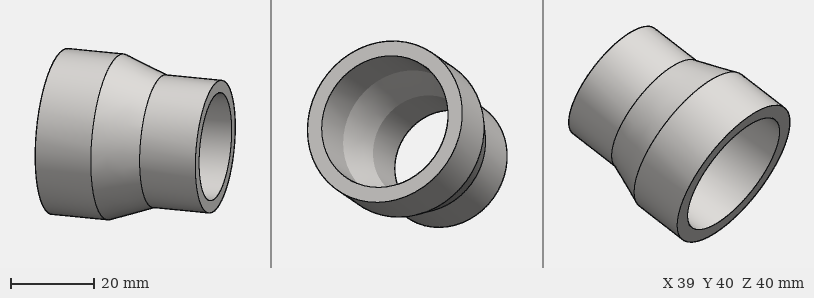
import cadquery as cq

large_outer_diameter = 40.0
large_bore_diameter = 32.6
small_outer_diameter = 32.0
small_bore_diameter = 26.0
total_length = 39.0
socket_length = 14.0

taper_start = socket_length
taper_end = total_length - socket_length


def reducer_solid(large_diameter, small_diameter):
    """Solid of revolution: wide cylinder, cone, narrow cylinder."""
    large_radius = large_diameter / 2
    small_radius = small_diameter / 2
    return (
        cq.Workplane("XY")
        .moveTo(0, 0)
        .lineTo(0, large_radius)
        .lineTo(taper_start, large_radius)
        .lineTo(taper_end, small_radius)
        .lineTo(total_length, small_radius)
        .lineTo(total_length, 0)
        .close()
        .revolve(360, (0, 0, 0), (1, 0, 0))
    )


outer_body = reducer_solid(large_outer_diameter, small_outer_diameter)
bore = reducer_solid(large_bore_diameter, small_bore_diameter)
result = outer_body.cut(bore)